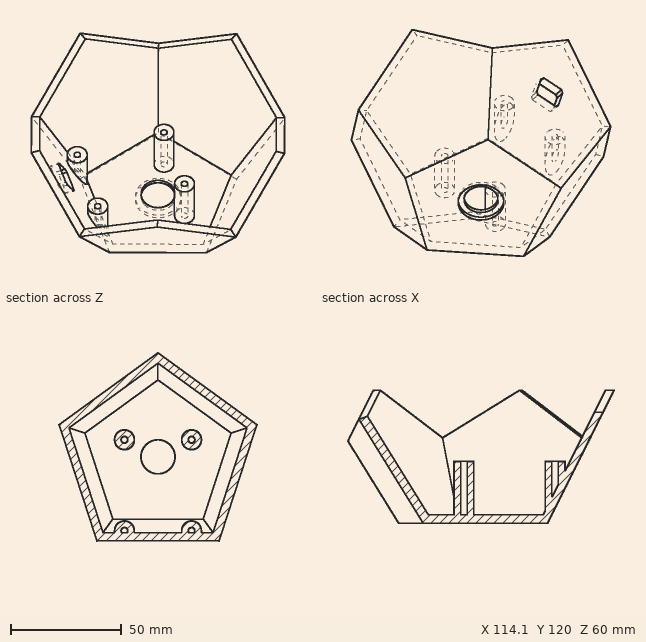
import cadquery as cq
import math

wall_count = 5
wall_step = 360 / wall_count
first_corner_angle = 90
golden_ratio = (1 + math.sqrt(5)) / 2
rim_radius = 60.0
inner_rim_radius = 56.0
floor_thickness = rim_radius - inner_rim_radius

centre_hole_diameter = 15.2
counterbore_diameter = 20.6
counterbore_depth = 2.0

post_diameter = 9.0
post_hole_diameter = 2.9
post_spacing_x = 30.2
post_spacing_y = 41.0
post_centre_y = -12.8
post_length = 24.0

window_width = 12.7
window_height = 8.0
window_centre_z = 34.7
window_corner_chamfer = 1.1


def corner(radius, angle, height):
    """Point at a polar position around the Z axis."""
    turn = math.radians(angle)
    return cq.Vector(radius * math.cos(turn), radius * math.sin(turn), height)


def flat_face(points):
    """Planar face bounded by a closed polygon."""
    return cq.Face.makeFromWires(cq.Wire.makePolygon(points, close=True))


def half_dodecahedron_faces(radius, base):
    """Floor pentagon and five wall pentagons, with the floor at height base."""
    floor_radius = radius / golden_ratio
    floor_corners = []
    low_corners = []
    high_corners = []
    for step in range(wall_count):
        angle = first_corner_angle + wall_step * step
        floor_corners.append(corner(floor_radius, angle, base))
        low_corners.append(corner(radius, angle, base + floor_radius))
        high_corners.append(corner(radius, angle + wall_step / 2, base + radius))
    walls = []
    rim = []
    for step in range(wall_count):
        following = (step + 1) % wall_count
        walls.append(flat_face([
            floor_corners[step],
            low_corners[step],
            high_corners[step],
            low_corners[following],
            floor_corners[following],
        ]))
        rim += [low_corners[step], high_corners[step]]
    return [flat_face(floor_corners)] + walls, rim


def make_bowl():
    """Join the outer and inner skins with a band of faces along the rim."""
    outer_faces, outer_rim = half_dodecahedron_faces(rim_radius, 0)
    inner_faces, inner_rim = half_dodecahedron_faces(inner_rim_radius, floor_thickness)
    rim_faces = []
    for step in range(len(outer_rim)):
        following = (step + 1) % len(outer_rim)
        rim_faces.append(flat_face([
            outer_rim[step],
            outer_rim[following],
            inner_rim[following],
            inner_rim[step],
        ]))
    shell = cq.Shell.makeShell(outer_faces + inner_faces + rim_faces)
    return cq.Workplane(cq.Solid.makeSolid(shell))


def make_cavity():
    """Space inside the walls, from the floor up to the lower rim corners."""
    floor_radius = inner_rim_radius / golden_ratio
    frustum = (
        cq.Workplane("XY")
        .workplane(offset=floor_thickness)
        .polygon(wall_count, 2 * floor_radius)
        .workplane(offset=floor_radius)
        .polygon(wall_count, 2 * inner_rim_radius)
        .loft(ruled=True)
    )
    return frustum.rotate((0, 0, 0), (0, 0, 1), first_corner_angle)


def make_posts():
    """Tubes standing on the floor and on the front wall, open down to those surfaces."""
    tubes = (
        cq.Workplane("XY")
        .center(0, post_centre_y)
        .rarray(post_spacing_x, post_spacing_y, 2, 2)
        .circle(post_diameter / 2)
        .circle(post_hole_diameter / 2)
        .extrude(floor_thickness + post_length)
    )
    return tubes.intersect(make_cavity())


def make_centre_hole():
    """Round hole through the floor, with a wider recess on the underside."""
    hole = cq.Workplane("XY").circle(centre_hole_diameter / 2).extrude(floor_thickness)
    counterbore = cq.Workplane("XY").circle(counterbore_diameter / 2).extrude(counterbore_depth)
    return hole.union(counterbore)


def make_window():
    """Chamfered opening running along Y through the front wall only."""
    return (
        cq.Workplane("XZ", origin=(0, 0, window_centre_z))
        .rect(window_width, window_height)
        .extrude(rim_radius)
        .edges("|Y")
        .chamfer(window_corner_chamfer)
    )


result = make_bowl().union(make_posts()).cut(make_centre_hole()).cut(make_window())